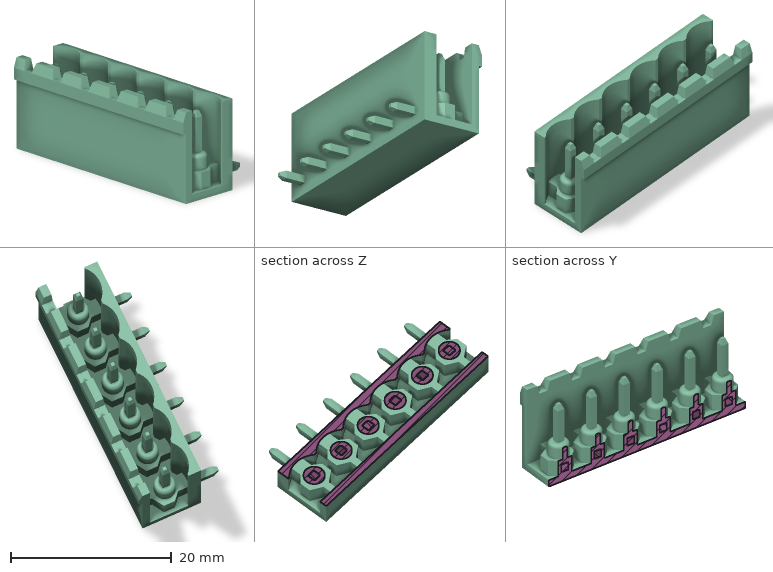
import cadquery as cq


length = 30.48
contact_count = 6
pitch = length / contact_count
contact_y = 4.25
contact_xs = [(i - (contact_count - 1) / 2) * pitch for i in range(contact_count)]

height = 12.0
depth = 8.05
floor = 1.0
front_wall = 1.05
back_wall = 1.75
cavity_back_y = depth - back_wall

lip_depth = 0.45
lip_height = 2.83
lip_chamfer_height = 1.28

notch_top_width = 2.0
notch_bottom_width = 1.25
notch_depth = lip_chamfer_height

scallop_gap = 0.5
scallop_half_width = (pitch - scallop_gap) / 2
scallop_rise = 0.9
scallop_apex_y = cavity_back_y + scallop_rise

pedestal_top = 3.3
pedestal_width = 4.05
pedestal_back_width = 2.0
pedestal_front_width = 0.98
wide_front_y = 3.2
wide_back_y = 4.7
front_neck_y = 2.25
back_neck_y = 5.6

collar_diameter = 2.75
collar_height = 2.0
collar_fillet = 0.52

pin_width = 1.0
pin_tip_width = 0.45
pin_tip_length = 0.75
pin_top = 10.73
pin_tail_z = 1.98
pin_tail_length = 3.5


def trough():
    """U-shaped channel with the latch lip, open at both ends."""
    lip_bottom = height - lip_height
    chamfer_bottom = height - lip_chamfer_height
    profile = [
        (0, 0),
        (depth, 0),
        (depth, height),
        (cavity_back_y, height),
        (cavity_back_y, floor),
        (front_wall, floor),
        (front_wall, height),
        (0, height),
        (-lip_depth, chamfer_bottom),
        (-lip_depth, lip_bottom),
        (0, lip_bottom),
    ]
    return cq.Workplane("YZ").polyline(profile).close().extrude(length / 2, both=True)


def scallop(x):
    """Arc-shaped recess cut into the back wall, down to the floor."""
    return (
        cq.Workplane("XY", origin=(x, 0, floor))
        .moveTo(-scallop_half_width, cavity_back_y)
        .threePointArc((0, scallop_apex_y), (scallop_half_width, cavity_back_y))
        .close()
        .extrude(height - floor)
    )


def notch(x):
    """Tapered notch through the top of the latch wall."""
    bottom_z = height - notch_depth
    return (
        cq.Workplane("XZ", origin=(x, front_wall, 0))
        .moveTo(-notch_top_width / 2, height)
        .lineTo(-notch_bottom_width / 2, bottom_z)
        .lineTo(notch_bottom_width / 2, bottom_z)
        .lineTo(notch_top_width / 2, height)
        .close()
        .extrude(front_wall + lip_depth)
    )


def pedestal(x):
    """Block from the front wall to the scallop, widest around the contact."""
    right_side = [
        (pedestal_front_width / 2, front_wall),
        (pedestal_front_width / 2, front_neck_y),
        (pedestal_width / 2, wide_front_y),
        (pedestal_width / 2, wide_back_y),
        (pedestal_back_width / 2, back_neck_y),
        (pedestal_back_width / 2, scallop_apex_y),
    ]
    left_side = [(-px, py) for px, py in reversed(right_side)]
    return (
        cq.Workplane("XY", origin=(x, 0, floor))
        .polyline(right_side + left_side)
        .close()
        .extrude(pedestal_top - floor)
    )


def collar(x):
    """Round boss on the pedestal with a rounded top edge."""
    return (
        cq.Workplane("XY", origin=(x, contact_y, pedestal_top))
        .circle(collar_diameter / 2)
        .extrude(collar_height)
        .faces(">Z")
        .edges()
        .fillet(collar_fillet)
    )


def square_bar(plane, bar_length):
    """Square bar along the plane's normal, its far end tapered to a small square tip."""
    shank_length = bar_length - pin_tip_length
    shank = cq.Workplane(plane).rect(pin_width, pin_width).extrude(shank_length)
    tip = (
        shank.faces(cq.selectors.DirectionMinMaxSelector(plane.zDir))
        .workplane()
        .rect(pin_width, pin_width)
        .workplane(offset=pin_tip_length)
        .rect(pin_tip_width, pin_tip_width)
        .loft(combine=False)
    )
    return shank.union(tip)


def bent_pin(x):
    """Right-angle pin: a contact pointing up and a solder tail pointing back."""
    post_bottom = pin_tail_z - pin_width / 2
    tail_start_y = contact_y - pin_width / 2
    tail_end_y = depth + pin_tail_length
    post_plane = cq.Plane(origin=(x, contact_y, post_bottom), xDir=(1, 0, 0), normal=(0, 0, 1))
    tail_plane = cq.Plane(origin=(x, tail_start_y, pin_tail_z), xDir=(1, 0, 0), normal=(0, 1, 0))
    post = square_bar(post_plane, pin_top - post_bottom)
    tail = square_bar(tail_plane, tail_end_y - tail_start_y)
    return post.union(tail).clean()


pins = [bent_pin(x) for x in contact_xs]

housing = trough()
for x in contact_xs:
    housing = housing.cut(scallop(x)).cut(notch(x))
for x, pin in zip(contact_xs, pins):
    housing = housing.union(pedestal(x)).union(collar(x)).cut(pin)

result = cq.Compound.makeCompound([housing.solids().val(), *[pin.solids().val() for pin in pins]])